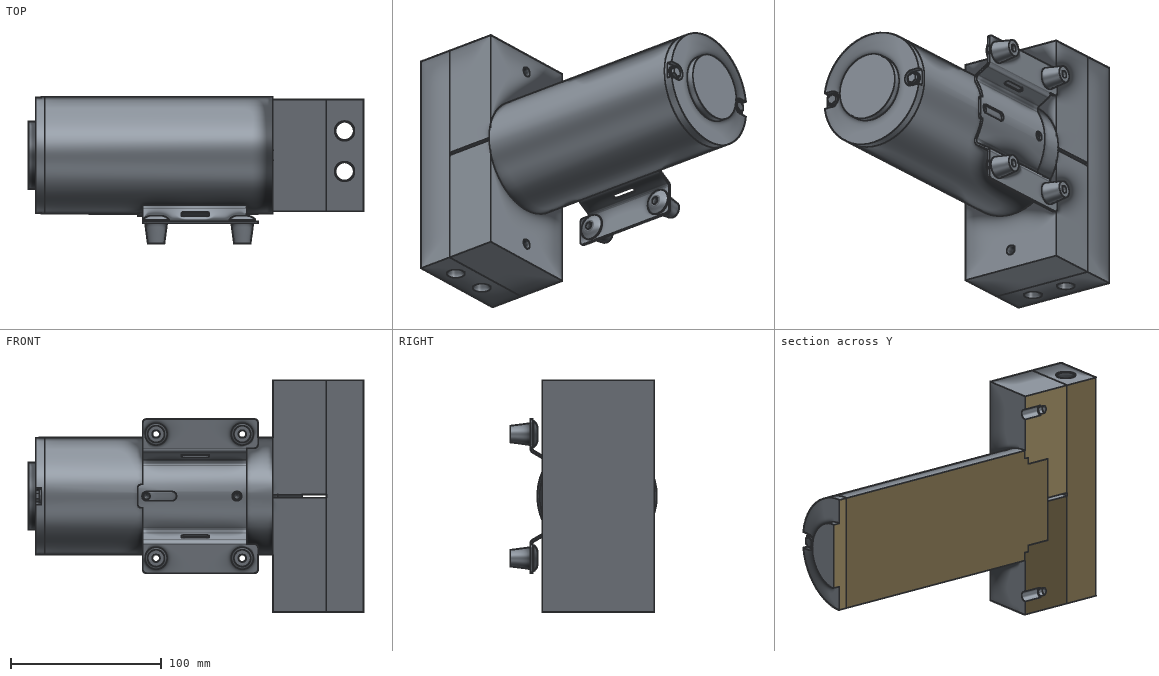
import cadquery as cq
import math


MOTOR_RADIUS = 39.0
BOSS_RADIUS = 22.5
BOSS_LENGTH = 5.0
CAP_END_X = 11.0
MOTOR_FRONT_X = 162.3
PILOT_RADIUS = 33.4
PILOT_END_X = 165.4
NOSE_RADIUS = 29.0
NOSE_END_X = 181.8

CAP_SCREW_Y = 32.7
SCREW_POCKET_RADIUS = 5.5
SCREW_POCKET_DEPTH = 3.5
WASHER_RADIUS = 4.5
WASHER_THICKNESS = 1.1
HEX_ACROSS_FLATS = 6.2

HEAD_WIDTH = 74.3
STACK_HEIGHT = 154.0
HEAD_GAP = 2.0
MANIFOLD_X = 197.9
LENGTH = 222.5
HEAD_HOLE_Z = 64.0
HEAD_THREAD_RADIUS = 3.3
HEAD_THREAD_DEPTH = 13.4
HEAD_DRILL_RADIUS = 2.5
HEAD_DRILL_DEPTH = 16.7
PORT_RADIUS = 6.0
PORT_CHAMFER = 0.55
PORT_X = 209.9
OUT_PORT_Y = 16.2
IN_PORT_Y = -10.7

SHEET = 1.5
BRACKET_X = 76.0
BRACKET_LENGTH = 69.0
EAR_LENGTH = 76.5
BRACKET_HALF_HEIGHT = 51.2
EAR_INNER_Z = 31.8
CORNER_RADIUS = 2.5
FLANGE_BACK_Y = -43.6
SEAT_HALF_ANGLE = 30.4
SLOPE_ANGLE = 30.0
SEAT_BEND_RADIUS = 4.5
FLANGE_BEND_RADIUS = 2.0
TAB_LENGTH = 3.3
TAB_HEIGHT = 15.5
SLOPE_SLOT_LENGTH = 18.7
SLOPE_SLOT_WIDTH = 3.5
SLOPE_SLOT_X = 110.8
SLOPE_SLOT_Y = -39.5
REAR_MOUNT_X = 78.5
FRONT_MOUNT_X = 138.5
MOUNT_SLOT_END_X = 95.3
MOUNT_CLEARANCE_RADIUS = 3.1
MOUNT_DRILL_RADIUS = 2.2
MOUNT_DRILL_DEPTH = 9.0

FOOT_X = (84.8, 142.0)
FOOT_Z = 41.2
FOOT_TIP_Y = -58.5
FOOT_TIP_RADIUS = 5.5
FOOT_BASE_RADIUS = 7.3
FOOT_NECK_RADIUS = 5.1
FOOT_HOLE_RADIUS = 2.5
CROWN_RADIUS = 8.7
CROWN_RIM = 1.0
CROWN_TOP_Y = -40.0
CROWN_TOP_RADIUS = 3.8
CROWN_BULGE = 0.5

DRILL_POINT_ANGLE = 118.0
CUT_MARGIN = 2.2


def cylinder_x(radius, start_x, end_x, y=0.0, z=0.0):
    """Cylinder along X."""
    return cq.Workplane("YZ", origin=(start_x, y, z)).circle(radius).extrude(end_x - start_x)


def box_between(x_range, y_range, z_range):
    """Box given by its limits along each axis."""
    sizes = [high - low for low, high in (x_range, y_range, z_range)]
    return cq.Workplane("XY").box(*sizes, centered=False).translate((x_range[0], y_range[0], z_range[0]))


def drilled_hole(position, direction, radius, depth):
    """Round hole with a conical drill point, going in from a position along a direction."""
    point_depth = radius / math.tan(math.radians(DRILL_POINT_ANGLE / 2))
    start = cq.Vector(*position)
    axis = cq.Vector(*direction)
    bore = cq.Solid.makeCylinder(radius, depth, start, axis)
    point = cq.Solid.makeCone(radius, 0, point_depth, start + axis * depth, axis)
    return cq.Workplane(bore.fuse(point))


def make_rear_cap():
    """Rear end cap with its boss and two hexagon screws in open pockets."""
    cap = cylinder_x(MOTOR_RADIUS, BOSS_LENGTH, CAP_END_X)
    cap = cap.union(cylinder_x(BOSS_RADIUS, 0, BOSS_LENGTH))
    floor_x = BOSS_LENGTH + SCREW_POCKET_DEPTH
    corner_diameter = HEX_ACROSS_FLATS / math.cos(math.radians(30))
    for side in (-1, 1):
        screw_y = side * CAP_SCREW_Y
        pocket = cylinder_x(SCREW_POCKET_RADIUS, BOSS_LENGTH, floor_x, screw_y)
        rim_y = sorted((screw_y, side * (MOTOR_RADIUS + CUT_MARGIN)))
        opening = box_between((BOSS_LENGTH, floor_x), rim_y, (-SCREW_POCKET_RADIUS, SCREW_POCKET_RADIUS))
        cap = cap.cut(pocket).cut(opening)
        washer = cylinder_x(WASHER_RADIUS, floor_x - WASHER_THICKNESS, floor_x, screw_y)
        hexagon = (
            cq.Workplane("YZ", origin=(BOSS_LENGTH, screw_y, 0))
            .transformed(rotate=(0, 0, 90))
            .polygon(6, corner_diameter)
            .extrude(SCREW_POCKET_DEPTH)
        )
        cap = cap.union(washer).union(hexagon)
    return cap


def make_motor():
    """Motor housing with its stepped nose and the two bracket screw holes."""
    motor = cylinder_x(MOTOR_RADIUS, CAP_END_X, MOTOR_FRONT_X)
    motor = motor.union(cylinder_x(PILOT_RADIUS, MOTOR_FRONT_X, PILOT_END_X))
    motor = motor.union(cylinder_x(NOSE_RADIUS, PILOT_END_X, NOSE_END_X))
    for mount_x in (REAR_MOUNT_X, FRONT_MOUNT_X):
        hole = drilled_hole((mount_x, -MOTOR_RADIUS, 0), (0, 1, 0), MOUNT_DRILL_RADIUS, MOUNT_DRILL_DEPTH)
        motor = motor.cut(hole)
    return motor


def make_pump_head(side):
    """Pump head above (side = 1) or below (side = -1) the motor axis, bored for the motor nose."""
    z_range = sorted((side * HEAD_GAP / 2, side * STACK_HEIGHT / 2))
    head = box_between((MOTOR_FRONT_X, MANIFOLD_X), (-HEAD_WIDTH / 2, HEAD_WIDTH / 2), z_range)
    head = head.cut(cylinder_x(PILOT_RADIUS, MOTOR_FRONT_X, PILOT_END_X))
    head = head.cut(cylinder_x(NOSE_RADIUS, PILOT_END_X, NOSE_END_X))
    hole_z = side * HEAD_HOLE_Z
    thread = cylinder_x(HEAD_THREAD_RADIUS, MOTOR_FRONT_X, MOTOR_FRONT_X + HEAD_THREAD_DEPTH, z=hole_z)
    drill = drilled_hole((MOTOR_FRONT_X, 0, hole_z), (1, 0, 0), HEAD_DRILL_RADIUS, HEAD_DRILL_DEPTH)
    return head.cut(thread).cut(drill)


def make_manifold():
    """End plate joining both heads, with two ports along its height."""
    half_width = HEAD_WIDTH / 2
    half_height = STACK_HEIGHT / 2
    manifold = box_between((MANIFOLD_X, LENGTH), (-half_width, half_width), (-half_height, half_height))
    for port_y in (OUT_PORT_Y, IN_PORT_Y):
        bottom = cq.Vector(PORT_X, port_y, -half_height)
        top = cq.Vector(PORT_X, port_y, half_height)
        up = cq.Vector(0, 0, 1)
        bore = cq.Solid.makeCylinder(PORT_RADIUS, STACK_HEIGHT, bottom, up)
        mouth = cq.Solid.makeCone(PORT_RADIUS + PORT_CHAMFER, PORT_RADIUS, PORT_CHAMFER, top, -up)
        manifold = manifold.cut(cq.Workplane(bore)).cut(cq.Workplane(mouth))
    return manifold


def face_points(offset):
    """(Y, Z) points of one sheet face from the seat crown up to the top edge.

    The offset is the distance from the face that touches the motor. Each bend keeps
    its centre, so both faces come from the same geometry.
    """
    slope = math.radians(SLOPE_ANGLE)
    seat = math.radians(SEAT_HALF_ANGLE)
    seat_radius = MOTOR_RADIUS + offset
    seat_bend = SEAT_BEND_RADIUS - offset
    flange_bend = FLANGE_BEND_RADIUS + offset
    flange_y = FLANGE_BACK_Y - offset

    normal_y = math.sin(slope)
    normal_z = math.cos(slope)

    def on_circle(centre, radius, angle):
        return (centre[0] + radius * math.cos(angle), centre[1] + radius * math.sin(angle))

    axis = (0.0, 0.0)
    bend_1 = on_circle(axis, MOTOR_RADIUS + SEAT_BEND_RADIUS, math.pi - seat)
    slope_distance = bend_1[0] * normal_y + bend_1[1] * normal_z + SEAT_BEND_RADIUS + FLANGE_BEND_RADIUS
    bend_2_y = FLANGE_BACK_Y + FLANGE_BEND_RADIUS
    bend_2 = (bend_2_y, (slope_distance - bend_2_y * normal_y) / normal_z)

    slope_normal = math.pi / 2 - slope
    seat_end_angle = -seat
    slope_start_angle = slope_normal
    slope_end_angle = slope_normal + math.pi
    return {
        "crown": (-seat_radius, 0.0),
        "seat_end": on_circle(bend_1, seat_bend, seat_end_angle),
        "bend_1_mid": on_circle(bend_1, seat_bend, (seat_end_angle + slope_start_angle) / 2),
        "slope_start": on_circle(bend_1, seat_bend, slope_start_angle),
        "slope_end": on_circle(bend_2, flange_bend, slope_end_angle),
        "bend_2_mid": on_circle(bend_2, flange_bend, (slope_end_angle + math.pi) / 2),
        "flange_start": (flange_y, bend_2[1]),
        "top": (flange_y, BRACKET_HALF_HEIGHT),
    }


def mirrored(point):
    """Same point on the other side of the motor axis height."""
    return (point[0], -point[1])


def make_bracket_blank():
    """Bent sheet from the tab edge to the ear ends, before any trimming."""
    motor_face = face_points(0)
    outer_face = face_points(SHEET)
    profile = cq.Workplane("YZ", origin=(BRACKET_X - TAB_LENGTH, 0, 0))

    profile = (
        profile.moveTo(*mirrored(outer_face["top"]))
        .lineTo(*mirrored(outer_face["flange_start"]))
        .threePointArc(mirrored(outer_face["bend_2_mid"]), mirrored(outer_face["slope_end"]))
        .lineTo(*mirrored(outer_face["slope_start"]))
        .threePointArc(mirrored(outer_face["bend_1_mid"]), mirrored(outer_face["seat_end"]))
        .threePointArc(outer_face["crown"], outer_face["seat_end"])
        .threePointArc(outer_face["bend_1_mid"], outer_face["slope_start"])
        .lineTo(*outer_face["slope_end"])
        .threePointArc(outer_face["bend_2_mid"], outer_face["flange_start"])
        .lineTo(*outer_face["top"])
    )
    profile = (
        profile.lineTo(*motor_face["top"])
        .lineTo(*motor_face["flange_start"])
        .threePointArc(motor_face["bend_2_mid"], motor_face["slope_end"])
        .lineTo(*motor_face["slope_start"])
        .threePointArc(motor_face["bend_1_mid"], motor_face["seat_end"])
        .threePointArc(motor_face["crown"], mirrored(motor_face["seat_end"]))
        .threePointArc(mirrored(motor_face["bend_1_mid"]), mirrored(motor_face["slope_start"]))
        .lineTo(*mirrored(motor_face["slope_end"]))
        .threePointArc(mirrored(motor_face["bend_2_mid"]), mirrored(motor_face["flange_start"]))
        .lineTo(*mirrored(motor_face["top"]))
        .close()
    )
    return profile.extrude(TAB_LENGTH + EAR_LENGTH)


def make_bracket_outline():
    """Outline of the bracket seen square to its ears, deep enough to trim the bent sheet."""
    y_range = (FLANGE_BACK_Y - 2 * SHEET, 0)
    full_height = (-BRACKET_HALF_HEIGHT, BRACKET_HALF_HEIGHT)
    ears = box_between((BRACKET_X, BRACKET_X + EAR_LENGTH), y_range, full_height)
    between_ears = (-EAR_INNER_Z, EAR_INNER_Z)
    notch = box_between((BRACKET_X + BRACKET_LENGTH, BRACKET_X + EAR_LENGTH), y_range, between_ears)
    ears = ears.cut(notch)
    ears = ears.edges("|Y and >X").fillet(CORNER_RADIUS)
    ears = ears.edges("|Y and <X").fillet(CORNER_RADIUS)
    tab_range = (-TAB_HEIGHT / 2, TAB_HEIGHT / 2)
    tab = box_between((BRACKET_X - TAB_LENGTH, BRACKET_X + TAB_LENGTH), y_range, tab_range)
    tab = tab.edges("|Y and <X").fillet(CORNER_RADIUS)
    return ears.union(tab)


def make_bracket():
    """Sheet bracket with two pairs of ears, a curved seat, a rear tab, slots and holes."""
    bracket = make_bracket_blank().intersect(make_bracket_outline())

    cut_depth = MOTOR_RADIUS + CUT_MARGIN
    slot_length = MOUNT_SLOT_END_X - REAR_MOUNT_X + 2 * MOUNT_CLEARANCE_RADIUS
    seat_plane = cq.Workplane("XZ")
    slot = (
        seat_plane.center((REAR_MOUNT_X + MOUNT_SLOT_END_X) / 2, 0)
        .slot2D(slot_length, 2 * MOUNT_CLEARANCE_RADIUS)
        .extrude(cut_depth)
    )
    hole = seat_plane.center(FRONT_MOUNT_X, 0).circle(MOUNT_CLEARANCE_RADIUS).extrude(cut_depth)
    bracket = bracket.cut(slot).cut(hole)

    slope_start = face_points(SHEET / 2)["slope_start"]
    rise = (slope_start[0] - SLOPE_SLOT_Y) * math.tan(math.radians(SLOPE_ANGLE))
    slot_z = slope_start[1] + rise
    for side in (-1, 1):
        web_plane = cq.Plane(
            origin=(SLOPE_SLOT_X, SLOPE_SLOT_Y, side * slot_z),
            xDir=(1, 0, 0),
            normal=(0, math.sin(math.radians(SLOPE_ANGLE)), side * math.cos(math.radians(SLOPE_ANGLE))),
        )
        web_slot = (
            cq.Workplane(web_plane).slot2D(SLOPE_SLOT_LENGTH, SLOPE_SLOT_WIDTH).extrude(SHEET, both=True)
        )
        bracket = bracket.cut(web_slot)

    for foot_x in FOOT_X:
        for foot_z in (-FOOT_Z, FOOT_Z):
            neck_hole = cq.Solid.makeCylinder(
                FOOT_NECK_RADIUS, SHEET, cq.Vector(foot_x, FLANGE_BACK_Y, foot_z), cq.Vector(0, -1, 0)
            )
            bracket = bracket.cut(cq.Workplane(neck_hole))
    return bracket


def make_foot(foot_x, foot_z):
    """Hollow rubber foot: tapered body, neck through the sheet and domed crown behind it."""
    flange_front_y = FLANGE_BACK_Y - SHEET
    rim_y = FLANGE_BACK_Y + CROWN_RIM
    dome_mid = (
        (CROWN_RADIUS + CROWN_TOP_RADIUS) / 2 + CROWN_BULGE,
        (rim_y + CROWN_TOP_Y) / 2 + CROWN_BULGE,
    )
    foot = (
        cq.Workplane("XY")
        .moveTo(FOOT_HOLE_RADIUS, FOOT_TIP_Y)
        .lineTo(FOOT_TIP_RADIUS, FOOT_TIP_Y)
        .lineTo(FOOT_BASE_RADIUS, flange_front_y)
        .lineTo(FOOT_NECK_RADIUS, flange_front_y)
        .lineTo(FOOT_NECK_RADIUS, FLANGE_BACK_Y)
        .lineTo(CROWN_RADIUS, FLANGE_BACK_Y)
        .lineTo(CROWN_RADIUS, rim_y)
        .threePointArc(dome_mid, (CROWN_TOP_RADIUS, CROWN_TOP_Y))
        .lineTo(FOOT_HOLE_RADIUS, CROWN_TOP_Y)
        .close()
        .revolve(360, (0, 0, 0), (0, 1, 0))
    )
    return foot.translate((foot_x, 0, foot_z))


rear_cap = make_rear_cap()
motor = make_motor()
pump_heads = [make_pump_head(side) for side in (-1, 1)]
manifold = make_manifold()
bracket = make_bracket()
feet = [make_foot(foot_x, foot_z) for foot_x in FOOT_X for foot_z in (-FOOT_Z, FOOT_Z)]

result = cq.Compound.makeCompound(
    [
        rear_cap.val(),
        motor.val(),
        *[head.val() for head in pump_heads],
        manifold.val(),
        bracket.val(),
        *[foot.val() for foot in feet],
    ]
)